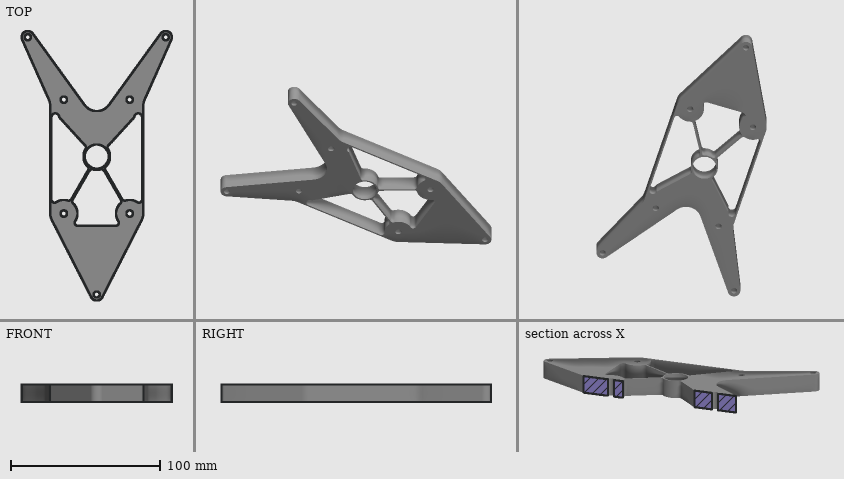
import cadquery as cq
import math

overall_length = 180.5
thickness = 12.0
arm_reach = 92.2
front_arm_angle = 30
half_width = 31.2
wall = 1.0
bore_diameter = 16.0
body_hole_diameter = 4.2
tip_hole_diameter = 4.0
body_hole_x = 22.0
body_hole_y = 38.0
shoulder_y = 34.1
shoulder_radius = 9.4
notch_radius = 10.1
notch_bottom_y = 30.5
window_fillet = 2.0
center_window_rear_y = -46.2
relief_radius = 2.5
relief_y = 26.4
web_angle = 47.5

front_tip_x = arm_reach * math.sin(math.radians(front_arm_angle))
front_tip_y = arm_reach * math.cos(math.radians(front_arm_angle))
tip_radius = (overall_length - front_tip_y - arm_reach) / 2
pad_radius = half_width - body_hole_x
ring_radius = bore_diameter / 2 + wall
window_side_x = half_width - wall
relief_x = window_side_x - relief_radius
web_x = relief_x - relief_radius


def tangent_heading(start, end):
    """Heading of the line that leaves one signed circle and joins the next along their tangent."""
    (x1, y1, r1), (x2, y2, r2) = start, end
    center_distance = math.hypot(x2 - x1, y2 - y1)
    return math.atan2(y2 - y1, x2 - x1) - math.asin((r2 - r1) / center_distance)


def belt_outline(circles):
    """Closed outline of tangent lines and arcs around circles (x, y, radius) listed counterclockwise.

    A positive radius makes an outward round, a negative one an inward round.
    """
    outline = None
    for index, circle in enumerate(circles):
        x, y, radius = circle
        arrival = tangent_heading(circles[index - 1], circle)
        departure = tangent_heading(circle, circles[(index + 1) % len(circles)])
        turn = math.remainder(departure - arrival, 2 * math.pi)
        arc_start, arc_middle, arc_end = [
            (x + radius * math.sin(heading), y - radius * math.cos(heading))
            for heading in (arrival, arrival + turn / 2, departure)
        ]
        if outline is None:
            outline = cq.Workplane("XY").moveTo(*arc_start)
        else:
            outline = outline.lineTo(*arc_start)
        outline = outline.threePointArc(arc_middle, arc_end)
    return outline.close()


def cylinder(x, y, radius):
    return cq.Workplane("XY").center(x, y).circle(radius).extrude(thickness)


def plate():
    right_rounds = [
        (body_hole_x, -body_hole_y, pad_radius),
        (half_width + shoulder_radius, shoulder_y, -shoulder_radius),
        (front_tip_x, front_tip_y, tip_radius),
    ]
    left_rounds = [(-x, y, radius) for x, y, radius in reversed(right_rounds)]
    rear_tip = (0, -arm_reach, tip_radius)
    notch = (0, notch_bottom_y + notch_radius, -notch_radius)
    return belt_outline([rear_tip, *right_rounds, notch, *left_rounds]).extrude(thickness)


def struts_and_bosses():
    """Hub ring, rear pads and the struts between them, which stay standing among the windows."""
    kept = cylinder(0, 0, ring_radius)
    strut_length = math.hypot(body_hole_x, body_hole_y)
    strut_angle = math.degrees(math.atan2(body_hole_y, body_hole_x))
    for side in (-1, 1):
        strut = (
            cq.Workplane("XY")
            .rect(strut_length, wall)
            .extrude(thickness)
            .rotate((0, 0, 0), (0, 0, 1), -side * strut_angle)
            .translate((side * body_hole_x / 2, -body_hole_y / 2, 0))
        )
        kept = kept.union(strut).union(cylinder(side * body_hole_x, -body_hole_y, pad_radius))
    return kept


def side_window(kept):
    """Right-hand window, between the side rail, the front web, the hub and the rear pad."""
    web_end_y = relief_y - web_x * math.tan(math.radians(web_angle))
    blank = (
        cq.Workplane("XY")
        .polyline([
            (0, web_end_y),
            (body_hole_x, -body_hole_y),
            (window_side_x, -body_hole_y),
            (window_side_x, relief_y),
            (web_x, relief_y),
        ])
        .close()
        .extrude(thickness)
    )
    corners = blank.cut(kept).edges("|Z").filter(lambda edge: edge.Center().y < relief_y - relief_radius)
    window = corners.fillet(window_fillet)
    return window.union(cylinder(relief_x, relief_y, relief_radius))


def center_window(kept):
    """Window between the two struts and the rear pads."""
    blank = (
        cq.Workplane("XY")
        .polyline([
            (0, 0),
            (-body_hole_x, -body_hole_y),
            (-body_hole_x, center_window_rear_y),
            (body_hole_x, center_window_rear_y),
            (body_hole_x, -body_hole_y),
        ])
        .close()
        .extrude(thickness)
    )
    return blank.cut(kept).edges("|Z").fillet(window_fillet)


inner_frame = struts_and_bosses()
right_window = side_window(inner_frame)
result = (
    plate()
    .cut(right_window)
    .cut(right_window.mirror("YZ"))
    .cut(center_window(inner_frame))
    .cut(cylinder(0, 0, bore_diameter / 2))
)

for side in (-1, 1):
    result = result.cut(cylinder(side * front_tip_x, front_tip_y, tip_hole_diameter / 2))
    for y in (-body_hole_y, body_hole_y):
        result = result.cut(cylinder(side * body_hole_x, y, body_hole_diameter / 2))
result = result.cut(cylinder(0, -arm_reach, tip_hole_diameter / 2))